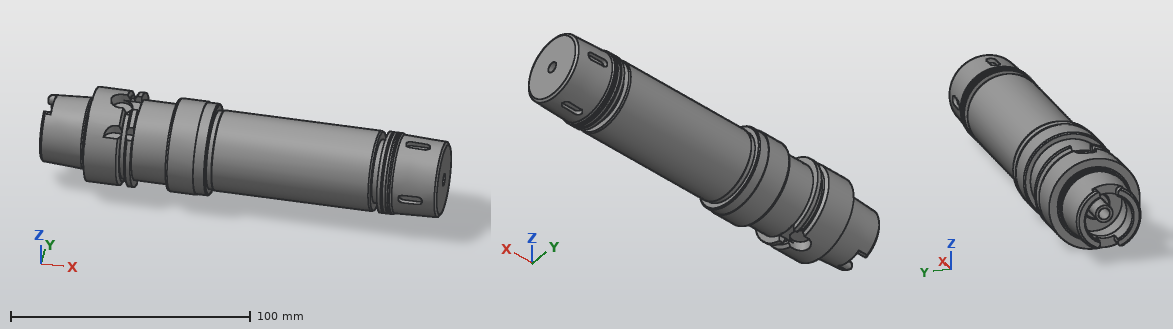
import cadquery as cq
import math

LENGTH = 170.0

SHANK_TIP_RADIUS = 14.1
SHANK_BASE_RADIUS = 15.1
SHANK_LENGTH = 17.8
TIP_CHAMFER = 0.8
SHANK_NECK_RADIUS = 14.6
SHANK_NECK_START = 18.5
SEAT_RADIUS = 15.3
SEAT_HEIGHT = 0.5
SEAT_RELIEF_RADIUS = 16.2
SEAT_RELIEF_DEPTH = 0.5

FLANGE_DIAMETER = 40.0
FLANGE_RADIUS = FLANGE_DIAMETER / 2
FLANGE_START = 20.0
FLANGE_END = 40.0
GRIP_GROOVE_START = 34.8
GRIP_GROOVE_END = 36.9
GRIP_CHAMFER_LENGTH = 1.0
GRIP_CHAMFER_DEPTH = 1.7

BODY_RADIUS = 17.0
COLLAR_RADIUS = 19.7
COLLAR_START = 54.9
COLLAR_STEP = 66.8
COLLAR_END = 71.9
COLLAR_REAR_RADIUS = 19.4
COLLAR_CHAMFER_LENGTH = 0.8
COLLAR_CHAMFER_DEPTH = 0.5
BODY_NECK_RADIUS = 16.7
SLEEVE_START = 74.0
SLEEVE_END = 142.0
SLEEVE_CHAMFER_LENGTH = 0.8
SLEEVE_CHAMFER_DEPTH = 0.3

NUT_NECK_RADIUS = 13.5
NUT_START = 144.8
NUT_RIM_END = 150.3
NUT_RIM_RADIUS = 17.2
NUT_CONE_START = 151.1
NUT_CONE_RADIUS = 16.7
NUT_END_RADIUS = 16.0
NUT_END_CHAMFER_LENGTH = 0.8
NUT_END_CHAMFER_DEPTH = 1.2
RIM_GROOVES = ((146.4, 147.0), (148.4, 149.5))
RIM_GROOVE_DEPTH = 0.7
WRENCH_SLOT_COUNT = 4
WRENCH_SLOT_CENTER = 159.0
WRENCH_SLOT_LENGTH = 10.2
WRENCH_SLOT_WIDTH = 3.9
WRENCH_SLOT_DEPTH = 1.7

BORE_RADIUS = 20.5 / 2
BORE_MOUTH_RADIUS = 10.9
BORE_LIP_END = 8.3
UNDERCUT_RADIUS = 24.0 / 2
BORE_FLOOR = 19.9
TUBE_RADIUS = 3.7
TUBE_TIP = 6.8
TUBE_BASE_RADIUS = 12.0 / 2
TUBE_BASE_START = 17.3
TUBE_BASE_CHAMFER = 0.5
COOLANT_HOLE_RADIUS = 5.0 / 2

DRIVE_SLOT_WIDTH = 8.0
DRIVE_SLOT_TOP_DEPTH = 3.2
DRIVE_SLOT_BOTTOM_DEPTH = 5.5
DRIVE_SLOT_ROUNDING = 1.7

CUTTER_RADIUS = 9.0 / 2
KEYWAY_CENTER = 32.3
KEYWAY_FLOOR = 16.3
KEYWAY_HOLE_FLOOR = 15.0
NOTCH_WALL_Y = -12.2
NOTCH_FLOOR_Z = 11.9


def turn(points):
    """Revolve a closed (x, radius) outline about the X axis."""
    return cq.Workplane("XY").polyline(points).close().revolve(360, (0, 0, 0), (1, 0, 0))


def turned_body():
    grip_bevel_radius = FLANGE_RADIUS - GRIP_CHAMFER_DEPTH
    sleeve_edge_radius = BODY_RADIUS - SLEEVE_CHAMFER_DEPTH
    seat_start = FLANGE_START - SEAT_HEIGHT
    relief_floor = FLANGE_START + SEAT_RELIEF_DEPTH
    rim_grooves = []
    for start, end in RIM_GROOVES:
        groove_radius = NUT_RIM_RADIUS - RIM_GROOVE_DEPTH
        rim_grooves += [
            (start, NUT_RIM_RADIUS),
            (start, groove_radius),
            (end, groove_radius),
            (end, NUT_RIM_RADIUS),
        ]
    return turn([
        (0, 0),
        (0, SHANK_TIP_RADIUS - TIP_CHAMFER),
        (TIP_CHAMFER, SHANK_TIP_RADIUS),
        (SHANK_LENGTH, SHANK_BASE_RADIUS),
        (SHANK_NECK_START, SHANK_NECK_RADIUS),
        (seat_start, SHANK_NECK_RADIUS),
        (seat_start, SEAT_RADIUS),
        (relief_floor, SEAT_RADIUS),
        (relief_floor, SEAT_RELIEF_RADIUS),
        (FLANGE_START, SEAT_RELIEF_RADIUS),
        (FLANGE_START, FLANGE_RADIUS),
        (GRIP_GROOVE_START - GRIP_CHAMFER_LENGTH, FLANGE_RADIUS),
        (GRIP_GROOVE_START, grip_bevel_radius),
        (GRIP_GROOVE_START, BODY_RADIUS),
        (GRIP_GROOVE_END, BODY_RADIUS),
        (GRIP_GROOVE_END, grip_bevel_radius),
        (GRIP_GROOVE_END + GRIP_CHAMFER_LENGTH, FLANGE_RADIUS),
        (FLANGE_END, FLANGE_RADIUS),
        (FLANGE_END, BODY_RADIUS),
        (COLLAR_START, BODY_RADIUS),
        (COLLAR_START, COLLAR_RADIUS - COLLAR_CHAMFER_DEPTH),
        (COLLAR_START + COLLAR_CHAMFER_LENGTH, COLLAR_RADIUS),
        (COLLAR_STEP, COLLAR_RADIUS),
        (COLLAR_STEP, COLLAR_REAR_RADIUS),
        (COLLAR_END - COLLAR_CHAMFER_DEPTH, COLLAR_REAR_RADIUS),
        (COLLAR_END, COLLAR_REAR_RADIUS - COLLAR_CHAMFER_DEPTH),
        (COLLAR_END, BODY_NECK_RADIUS),
        (SLEEVE_START, sleeve_edge_radius),
        (SLEEVE_START + SLEEVE_CHAMFER_DEPTH, BODY_RADIUS),
        (SLEEVE_END - SLEEVE_CHAMFER_LENGTH, BODY_RADIUS),
        (SLEEVE_END, sleeve_edge_radius),
        (SLEEVE_END, NUT_NECK_RADIUS),
        (NUT_START, NUT_NECK_RADIUS),
        (NUT_START, NUT_RIM_RADIUS),
        *rim_grooves,
        (NUT_RIM_END, NUT_RIM_RADIUS),
        (NUT_CONE_START, NUT_CONE_RADIUS),
        (LENGTH - NUT_END_CHAMFER_LENGTH, NUT_END_RADIUS),
        (LENGTH, NUT_END_RADIUS - NUT_END_CHAMFER_DEPTH),
        (LENGTH, 0),
    ])


def shank_bore():
    """Undercut bore of the shank, leaving the coolant tube standing in the middle."""
    mouth_chamfer = BORE_MOUTH_RADIUS - BORE_RADIUS
    return turn([
        (0, 0),
        (0, BORE_MOUTH_RADIUS),
        (mouth_chamfer, BORE_RADIUS),
        (BORE_LIP_END, BORE_RADIUS),
        (BORE_LIP_END + UNDERCUT_RADIUS - BORE_RADIUS, UNDERCUT_RADIUS),
        (BORE_FLOOR, UNDERCUT_RADIUS),
        (BORE_FLOOR, TUBE_BASE_RADIUS),
        (TUBE_BASE_START + TUBE_BASE_CHAMFER, TUBE_BASE_RADIUS),
        (TUBE_BASE_START, TUBE_BASE_RADIUS - TUBE_BASE_CHAMFER),
        (TUBE_BASE_START, TUBE_RADIUS),
        (TUBE_TIP, TUBE_RADIUS),
        (TUBE_TIP, 0),
    ])


def coolant_hole():
    return cq.Workplane("YZ").circle(COOLANT_HOLE_RADIUS).extrude(LENGTH)


def drive_slot(depth):
    """Upper slot across the shank tip, its long edges rounded over onto the shank surface."""
    half_width = DRIVE_SLOT_WIDTH / 2
    center_y = half_width + DRIVE_SLOT_ROUNDING
    center_distance = SHANK_TIP_RADIUS - DRIVE_SLOT_ROUNDING
    center_angle = math.acos(center_y / center_distance)
    center_z = center_distance * math.sin(center_angle)
    middle_angle = (math.pi + center_angle) / 2
    tangent_y = SHANK_TIP_RADIUS * math.cos(center_angle)
    tangent_z = SHANK_TIP_RADIUS * math.sin(center_angle)
    middle_y = center_y + DRIVE_SLOT_ROUNDING * math.cos(middle_angle)
    middle_z = center_z + DRIVE_SLOT_ROUNDING * math.sin(middle_angle)
    return (
        cq.Workplane("YZ")
        .moveTo(-half_width, 0)
        .lineTo(half_width, 0)
        .lineTo(half_width, center_z)
        .threePointArc((middle_y, middle_z), (tangent_y, tangent_z))
        .lineTo(tangent_y, FLANGE_RADIUS)
        .lineTo(-tangent_y, FLANGE_RADIUS)
        .lineTo(-tangent_y, tangent_z)
        .threePointArc((-middle_y, middle_z), (-half_width, center_z))
        .close()
        .extrude(depth)
    )


def round_ended_cut(center_y, floor_z):
    """Cut above floor_z with a round end, running out through the rear flange face."""
    run_out = FLANGE_END - KEYWAY_CENTER
    height = FLANGE_RADIUS - floor_z
    plane = cq.Workplane("XY", origin=(KEYWAY_CENTER, center_y, floor_z))
    round_end = plane.circle(CUTTER_RADIUS).extrude(height)
    straight = plane.rect(run_out, 2 * CUTTER_RADIUS).extrude(height).translate((run_out / 2, 0, 0))
    return round_end.union(straight)


def keyway():
    hole = (
        cq.Workplane("XY", origin=(KEYWAY_CENTER, 0, KEYWAY_HOLE_FLOOR))
        .circle(CUTTER_RADIUS)
        .extrude(FLANGE_RADIUS - KEYWAY_HOLE_FLOOR)
    )
    return round_ended_cut(0, KEYWAY_FLOOR).union(hole)


def wrench_slot(angle):
    return (
        cq.Workplane("XY", origin=(WRENCH_SLOT_CENTER, 0, NUT_END_RADIUS - WRENCH_SLOT_DEPTH))
        .slot2D(WRENCH_SLOT_LENGTH, WRENCH_SLOT_WIDTH)
        .extrude(2 * WRENCH_SLOT_DEPTH)
        .rotate((0, 0, 0), (1, 0, 0), angle)
    )


result = turned_body().cut(shank_bore()).cut(coolant_hole())
result = result.cut(drive_slot(DRIVE_SLOT_TOP_DEPTH))
result = result.cut(drive_slot(DRIVE_SLOT_BOTTOM_DEPTH).mirror("XY"))

top_keyway = keyway()
bottom_keyway = top_keyway.mirror("XY")
result = result.cut(top_keyway).cut(bottom_keyway)
result = result.cut(round_ended_cut(NOTCH_WALL_Y - CUTTER_RADIUS, NOTCH_FLOOR_Z))

for slot in range(WRENCH_SLOT_COUNT):
    result = result.cut(wrench_slot(slot * 360 / WRENCH_SLOT_COUNT))